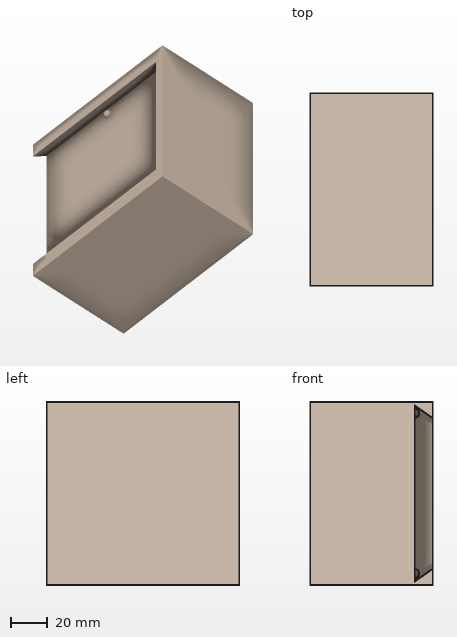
import cadquery as cq

width = 67.0
length = 105.0
height = 100.0

slot_depth = 10.0
floor_margin = 2.0
mouth_margin = 9.0
end_wall = 5.0

bump_radius = 2.5
bump_margin = 6.25

mouth_x = width / 2
floor_x = mouth_x - slot_depth
front_y = -length / 2
slot_length = length - end_wall


def make_slot():
    """Dovetail cutter, wider at the floor than at the mouth."""
    floor_z = height / 2 - floor_margin
    mouth_z = height / 2 - mouth_margin
    return (
        cq.Workplane("XZ", origin=(0, front_y, 0))
        .polyline([
            (floor_x, -floor_z),
            (mouth_x, -mouth_z),
            (mouth_x, mouth_z),
            (floor_x, floor_z),
        ])
        .close()
        .extrude(-slot_length)
    )


def make_bump(side):
    """Ball half sunk in the slot floor, midway along it; side is +1 (top) or -1 (bottom)."""
    center_y = front_y + slot_length / 2
    center_z = side * (height / 2 - bump_margin)
    return cq.Workplane("XY").sphere(bump_radius).translate((floor_x, center_y, center_z))


result = cq.Workplane("XY").box(width, length, height).cut(make_slot())
for side in (1, -1):
    result = result.union(make_bump(side))